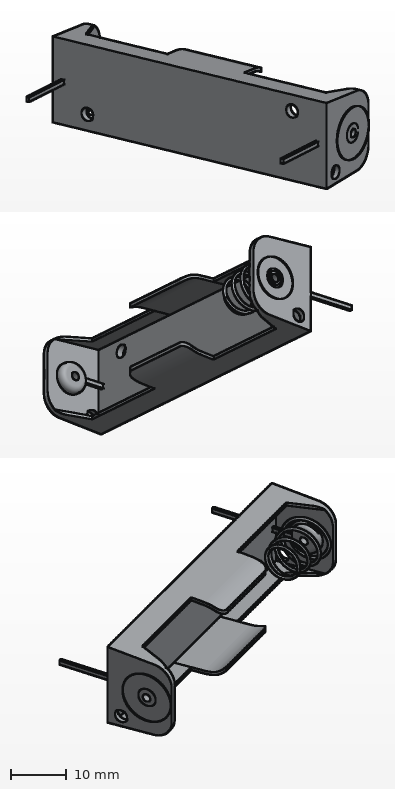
import cadquery as cq
import math


housing_length = 59.5
housing_height = 13.2
base_width = 16.4
draft_angle = 3.5
side_wall = 0.65
end_wall = 1.15
floor = 1.5
rim_height = 5.1
end_corner_radius = 3.9
gusset_length = 3.7
gusset_height = 11.4

clip_width = 16.7
clip_height = 11.5
clip_corner_radius = 1.55
clip_center_y = 7.45

hole_diameter = 2.5
mount_hole_inset_x = 7.5
mount_hole_z = 5.1
wire_hole_y = 2.8
wire_hole_z = -5.85

contact_y = 8.1
shank_radius = 1.8
bore_radius = 0.8
button_radius = 3.0
button_height = 1.6
button_rounding = 1.1
recess_radius = 4.0
recess_depth = 0.2
lip_width = 0.5
flange_radius = 4.95
flange_thickness = 0.2
pin_thickness = 0.6
pin_width = 0.9
pin_length = 10.9
pin_inset = 2.15

wire_radius = 0.3
spring_gap = 0.03
spring_pitch = 3.0
spring_turns = 3
spring_base_radius = 4.55
spring_tip_radius = 3.3
spring_root_radius = 2.5
end_turn = 0.92
steps_per_turn = 16

opening_top = housing_height + 0.6
base_half_width = base_width / 2
lean = math.tan(math.radians(draft_angle))
inner_face_x = housing_length - end_wall


def half_width(y):
    """Outer half width of the housing at height y."""
    return base_half_width - lean * y


def bar_along_x(outline, start, end):
    """Extrude a closed (y, z) outline from x = start to x = end."""
    return cq.Workplane("YZ").workplane(offset=start).polyline(outline).close().extrude(end - start)


def rod_along_x(y, z, radius, start, end):
    return cq.Workplane("YZ").workplane(offset=start).center(y, z).circle(radius).extrude(end - start)


def tapered_outline(bottom, top, inset):
    """Symmetric trapezoid between two heights, set in from the outer side faces."""
    low = half_width(bottom) - inset
    high = half_width(top) - inset
    return [(bottom, -low), (top, -high), (top, high), (bottom, low)]


def make_shell():
    block = bar_along_x(tapered_outline(0, housing_height, 0), 0, housing_length)
    block = block.faces(">Y").edges("|X").fillet(end_corner_radius)
    cavity = bar_along_x(tapered_outline(floor, housing_height, side_wall), end_wall, inner_face_x)

    slope = (gusset_height - rim_height) / (gusset_length - end_wall)
    top_inset = gusset_length - (opening_top - rim_height) / slope
    opening = (
        cq.Workplane("XY")
        .polyline([
            (gusset_length, rim_height),
            (top_inset, opening_top),
            (housing_length - top_inset, opening_top),
            (housing_length - gusset_length, rim_height),
        ])
        .close()
        .extrude(base_half_width, both=True)
    )
    between_end_walls = (
        cq.Workplane("XY")
        .rect(inner_face_x - end_wall, 2 * opening_top)
        .extrude(base_half_width, both=True)
        .translate((housing_length / 2, 0, 0))
    )
    return block.cut(cavity).cut(opening.intersect(between_end_walls))


def clip_side(radius, inset):
    """Points of one face of a clip: foot, start of the curl, middle of the curl, tip."""
    start_angle = math.radians(draft_angle)
    tip_angle = math.asin((clip_height - clip_center_y) / radius)
    angles = [start_angle, (start_angle + tip_angle) / 2, tip_angle]
    curl = [(clip_center_y + radius * math.sin(a), radius * math.cos(a)) for a in angles]
    return [(floor, half_width(floor) - inset), *curl]


def make_clips():
    """Both side walls carried up and curled inward around the cell."""
    outer_radius = half_width(clip_center_y) * math.cos(math.radians(draft_angle))
    outer = clip_side(outer_radius, 0)
    inner = clip_side(outer_radius - side_wall, side_wall)
    clip = (
        cq.Workplane("YZ")
        .workplane(offset=(housing_length - clip_width) / 2)
        .moveTo(*outer[0])
        .lineTo(*outer[1])
        .threePointArc(outer[2], outer[3])
        .lineTo(*inner[3])
        .threePointArc(inner[2], inner[1])
        .lineTo(*inner[0])
        .close()
        .extrude(clip_width)
    )
    rounded_blank = (
        cq.Workplane("XY")
        .rect(clip_width, 2 * clip_height)
        .extrude(base_half_width)
        .edges("|Z")
        .fillet(clip_corner_radius)
        .translate((housing_length / 2, 0, 0))
    )
    clip = clip.intersect(rounded_blank)
    return clip.union(clip.mirror("XY"))


def pin_blank(x, top):
    """Solder pin from its free end up to the given height."""
    return (
        cq.Workplane("XY")
        .box(pin_thickness, pin_length + top, pin_width)
        .translate((x, (top - pin_length) / 2, 0))
    )


def make_housing():
    housing = make_shell().union(make_clips())
    for x, z in [
        (mount_hole_inset_x, -mount_hole_z),
        (housing_length - mount_hole_inset_x, mount_hole_z),
    ]:
        hole = cq.Workplane("XZ").center(x, z).circle(hole_diameter / 2).extrude(-housing_height)
        housing = housing.cut(hole)
    housing = housing.cut(rod_along_x(wire_hole_y, wire_hole_z, hole_diameter / 2, 0, housing_length))
    housing = housing.cut(rod_along_x(contact_y, 0, shank_radius, 0, housing_length))
    housing = housing.cut(rod_along_x(contact_y, 0, recess_radius, 0, recess_depth))
    for x in (pin_inset, housing_length - pin_inset):
        housing = housing.cut(pin_blank(x, floor))
    return housing


def make_terminal():
    """Hollow rivet with its rounded button inside the -X end wall, and the solder pin."""
    shank = rod_along_x(contact_y, 0, shank_radius, recess_depth, end_wall)
    button = rod_along_x(contact_y, 0, button_radius, end_wall, end_wall + button_height)
    button = button.faces(">X").edges().fillet(button_rounding)
    pin = pin_blank(pin_inset, contact_y - button_radius / 2)
    lip = cq.Workplane(
        cq.Solid.makeTorus(
            shank_radius - lip_width / 2,
            lip_width / 2,
            cq.Vector(lip_width / 2, contact_y, 0),
            cq.Vector(1, 0, 0),
        )
    )
    bore = rod_along_x(contact_y, 0, bore_radius, 0, end_wall + button_height)
    return shank.union(button).union(pin).union(lip).cut(bore)


def spring_point(turn):
    """Point on the wire axis; the turns below 0 and above spring_turns lie flat."""
    climb = min(max(turn, 0), spring_turns)
    radius = spring_base_radius + (spring_tip_radius - spring_base_radius) * climb / spring_turns
    if turn < 0:
        radius += (spring_base_radius - spring_root_radius) * turn
    angle = 2 * math.pi * turn
    x = end_wall + spring_gap + wire_radius + spring_pitch * climb
    return cq.Vector(x, contact_y + radius * math.cos(angle), radius * math.sin(angle))


def make_spring_wire():
    """Conical spring: spirals out of the button, climbs, and ends in a flat turn."""
    first = -steps_per_turn
    last = round((spring_turns + end_turn) * steps_per_turn)
    points = [spring_point(step / steps_per_turn) for step in range(first, last + 1)]
    path = cq.Edge.makeSpline(points)
    start_plane = cq.Plane(origin=points[0], xDir=(1, 0, 0), normal=path.tangentAt(0))
    return cq.Workplane(start_plane).circle(wire_radius).sweep(cq.Workplane(path), isFrenet=False)


def make_spring_contact():
    return make_terminal().union(make_spring_wire())


def make_button_contact():
    """Terminal facing the other way, with a flange on the outside of the +X end wall."""
    terminal = make_terminal().mirror("YZ").translate((housing_length, 0, 0))
    outer_end = housing_length + flange_thickness
    flange = rod_along_x(contact_y, 0, flange_radius, housing_length, outer_end)
    shank_end = rod_along_x(contact_y, 0, shank_radius, inner_face_x, housing_length)
    bore = rod_along_x(contact_y, 0, bore_radius, inner_face_x - button_height, outer_end)
    return terminal.union(shank_end).union(flange).cut(bore)


housing = make_housing().solids()
spring_contact = make_spring_contact().solids()
button_contact = make_button_contact().solids()

result = cq.Compound.makeCompound([housing.val(), spring_contact.val(), button_contact.val()])